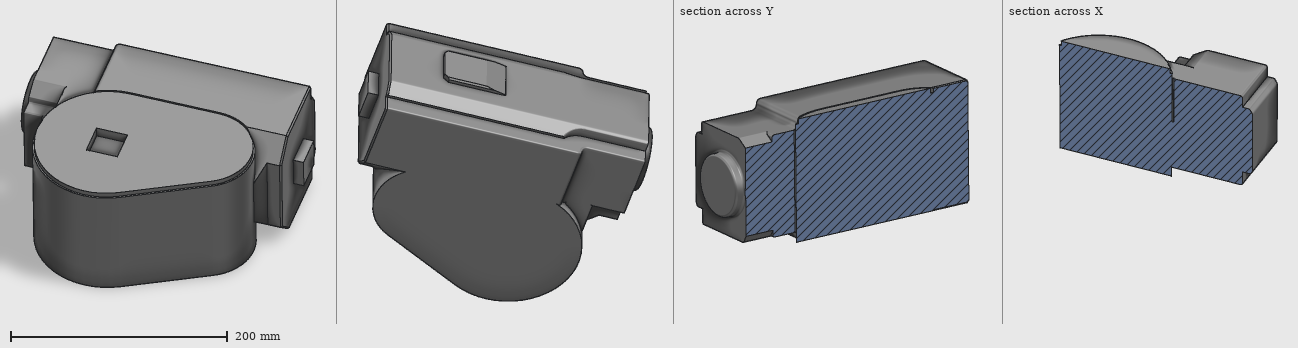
import cadquery as cq
import math

TILT = 0.6

DIAGONAL = math.sqrt(0.5)

LENGTH = 250.0
HALF_HEIGHT = 60.0
NECK_HALF_HEIGHT = 50.0
STEP = HALF_HEIGHT - NECK_HALF_HEIGHT
STEP_RADIUS = STEP / 2
STEP_START = 55.2
BACK_WALL = 40.0
FRONT_WALL = -49.8
ROOF_FRONT = -29.7
EDGE_RADIUS = 2.5

RIB_FACE = 50.3
RIB_CENTRE_Z = 0.5
RIB_HALF_HEIGHT = 44.5
RIB_FACE_HALF_HEIGHT = 32.2
RIB_ANGLE = 57
RIB_EDGE_RADIUS = 6.0
UPPER_SHELF_HEIGHT = 37.5
LOWER_SHELF_HEIGHT = 35.2
SHELF_END = 60.0
SHELF_RUNOUT_RADIUS = 23.0
RIM_CLEARANCE = 1.4
SHELF_CUT_END = SHELF_END + SHELF_RUNOUT_RADIUS

RECESS_LENGTH = 30.0
RECESS_MARGIN = 0.3
RECESS_BACK_TOP = -20.3
RECESS_BACK_BOTTOM = -26.5
RECESS_SIDE = -35.2
RECESS_EDGE_HEIGHT = 40.5
PAD_HALF_HEIGHT = 35.0
PAD_LENGTH = 17.3
NECK_FRONT = -62.5

FLANK_HALF_HEIGHT = 39.8
FLANK_START = 135.2
FLARE_START = 236.0
FLARE_END = 221.7
FLARE_FRONT = -75.7
END_CHAMFER = 1.5

DRUM_X = 93.5
DRUM_Y = -88.2
DRUM_RADIUS = 68.7
DRUM_SPACING = 86.8
TANGENT_ANGLE = 27.5
DRUM_END_RADIUS = DRUM_RADIUS - DRUM_SPACING * math.tan(math.radians(TANGENT_ANGLE / 2))
COVER_THICKNESS = 5.0
COVER_INSET = 1.5

SQUARE = 30.0
SOCKET_DEPTH = 10.0
STUB_LENGTH = 10.0

PLUG_RADIUS = 30.0
PLUG_LENGTH = 10.0

PLATE_START = 138.2
PLATE_RAMP_END = 157.7
PLATE_END = 198.2
PLATE_RAMP_STEP = 1.0
PLATE_FACE = 55.2
PLATE_HEIGHT = 39.5
PLATE_CENTRE_Z = 3.8
PLATE_CORNER = 5.0
PLATE_BEVEL = 1.5


def prism_along_x(points, start, end):
    """Extrude a (Y, Z) outline from X = start to X = end."""
    return cq.Workplane("YZ", origin=(start, 0, 0)).polyline(points).close().extrude(end - start)


def prism_along_z(points, half_height):
    """Extrude an (X, Y) outline both ways from Z = 0."""
    return cq.Workplane("XY").polyline(points).close().extrude(half_height, both=True)


def mirrored(points):
    """Close a (Y, Z) outline by its reflection in Z = 0."""
    return points + [(y, -z) for y, z in reversed(points)]


def make_core():
    """Stepped middle of the housing; each step is an S of two quarter rounds."""
    middle = STEP_START + STEP_RADIUS
    step_end = STEP_START + STEP
    neck = NECK_HALF_HEIGHT
    bend = STEP_RADIUS * DIAGONAL
    rest = STEP_RADIUS - bend

    outline = (
        cq.Workplane("XZ", origin=(0, BACK_WALL, 0))
        .moveTo(0, -neck)
        .lineTo(0, neck)
        .lineTo(STEP_START, neck)
        .threePointArc((STEP_START + bend, neck + rest), (middle, neck + STEP_RADIUS))
        .threePointArc((middle + rest, neck + STEP_RADIUS + bend), (step_end, HALF_HEIGHT))
        .lineTo(LENGTH, HALF_HEIGHT)
        .lineTo(LENGTH, -HALF_HEIGHT)
        .lineTo(step_end, -HALF_HEIGHT)
        .threePointArc((middle + rest, -neck - STEP_RADIUS - bend), (middle, -neck - STEP_RADIUS))
        .threePointArc((STEP_START + bend, -neck - rest), (STEP_START, -neck))
        .close()
    )
    core = outline.extrude(BACK_WALL - ROOF_FRONT)
    long_edges = core.faces(">Y").edges("not(<X or >X)")
    return long_edges.fillet(EDGE_RADIUS)


def make_shelf(height):
    """Upper cut whose floor, at the given height, curves up and out of the rib."""
    bend = SHELF_RUNOUT_RADIUS * DIAGONAL
    top = height + SHELF_RUNOUT_RADIUS
    return (
        cq.Workplane("XZ", origin=(0, RIB_FACE, 0))
        .moveTo(0, height)
        .lineTo(SHELF_END, height)
        .threePointArc((SHELF_END + bend, top - bend), (SHELF_CUT_END, top))
        .lineTo(0, top)
        .close()
        .extrude(RIB_FACE - BACK_WALL)
    )


def make_rib():
    """Rib with sloping flanks, a shelf at its near end and rounded edges."""
    slope_depth = (RIB_HALF_HEIGHT - RIB_FACE_HALF_HEIGHT) / math.tan(math.radians(RIB_ANGLE))
    ridge = RIB_FACE - slope_depth
    outline = mirrored([(0, RIB_HALF_HEIGHT), (ridge, RIB_HALF_HEIGHT), (RIB_FACE, RIB_FACE_HALF_HEIGHT)])
    rib = prism_along_x(outline, 0, LENGTH).translate((0, 0, RIB_CENTRE_Z))
    rib = rib.faces(">Y").edges("|X").fillet(RIB_EDGE_RADIUS)
    rib = rib.cut(make_shelf(UPPER_SHELF_HEIGHT)).cut(make_shelf(LOWER_SHELF_HEIGHT).mirror("XY"))

    shelf_rims = cq.selectors.BoxSelector(
        (EDGE_RADIUS, ridge + EDGE_RADIUS, -HALF_HEIGHT),
        (SHELF_CUT_END, RIB_FACE - RIM_CLEARANCE, HALF_HEIGHT),
    )
    return rib.edges(shelf_rims).edges("not |Y").fillet(EDGE_RADIUS)


def make_neck_front():
    """Front of the neck, flaring out to meet the drum."""
    flare_length = FRONT_WALL - NECK_FRONT
    return prism_along_z(
        [
            (0, 0),
            (0, FRONT_WALL),
            (PAD_LENGTH, FRONT_WALL),
            (PAD_LENGTH + flare_length, NECK_FRONT),
            (STEP_START, NECK_FRONT),
            (STEP_START, 0),
        ],
        NECK_HALF_HEIGHT,
    )


def make_recesses():
    """Upper and lower corner cuts that leave the pad standing between them."""
    clear_y = NECK_FRONT - 2.7
    clear_z = NECK_HALF_HEIGHT + 2.7
    upper = prism_along_x(
        [
            (RECESS_BACK_TOP, clear_z),
            (RECESS_BACK_TOP, NECK_HALF_HEIGHT),
            (RECESS_SIDE, RECESS_EDGE_HEIGHT),
            (RECESS_SIDE, PAD_HALF_HEIGHT),
            (clear_y, PAD_HALF_HEIGHT),
            (clear_y, clear_z),
        ],
        0,
        RECESS_LENGTH,
    )
    lower = prism_along_x(
        [
            (RECESS_BACK_BOTTOM, -clear_z),
            (RECESS_BACK_BOTTOM, -NECK_HALF_HEIGHT),
            (RECESS_SIDE, -PAD_HALF_HEIGHT),
            (clear_y, -PAD_HALF_HEIGHT),
            (clear_y, -clear_z),
        ],
        0,
        RECESS_LENGTH,
    )
    return upper.union(lower)


def round_recesses(housing):
    """Round the lengthwise and flare edges of the recesses, and the roof edges of their end wall."""
    clear_y = NECK_FRONT - 2.7
    back_y = RECESS_BACK_TOP + EDGE_RADIUS
    wall_start = RECESS_LENGTH - RECESS_MARGIN
    wall_end = RECESS_LENGTH + RECESS_MARGIN
    along_recess = cq.selectors.BoxSelector(
        (RECESS_MARGIN, clear_y, -HALF_HEIGHT), (wall_start, back_y, HALF_HEIGHT)
    )
    on_wall = cq.selectors.BoxSelector(
        (wall_start, clear_y, -HALF_HEIGHT), (wall_end, RECESS_SIDE, HALF_HEIGHT)
    )
    edges = housing.edges(along_recess).edges("not |Z")
    edges = edges.add(housing.edges(on_wall).edges(">Z or <Z"))
    return housing.newObject(edges.vals()).fillet(EDGE_RADIUS)


def make_flank():
    """Far front corner: sloping faces trimmed by a flare towards the drum."""
    slope = (HALF_HEIGHT - FLANK_HALF_HEIGHT) / (ROOF_FRONT - FRONT_WALL)
    tip_half_height = HALF_HEIGHT - slope * (ROOF_FRONT - FLARE_FRONT)
    wedge = prism_along_x(
        mirrored([(ROOF_FRONT, HALF_HEIGHT), (FLARE_FRONT, tip_half_height)]), FLANK_START, LENGTH
    )
    plan = prism_along_z(
        [
            (FLANK_START, ROOF_FRONT),
            (LENGTH, ROOF_FRONT),
            (LENGTH, FRONT_WALL),
            (FLARE_START, FRONT_WALL),
            (FLARE_END, FLARE_FRONT),
            (FLANK_START, FLARE_FRONT),
        ],
        HALF_HEIGHT,
    )
    return wedge.intersect(plan)


def make_drum_prism(inset, bottom, top):
    """Drum outline, shrunk by inset, between two heights."""
    big = DRUM_RADIUS - inset
    small = DRUM_END_RADIUS - inset
    end_x = DRUM_X + DRUM_SPACING
    end_y = DRUM_Y + DRUM_RADIUS - DRUM_END_RADIUS
    across = math.sin(math.radians(TANGENT_ANGLE))
    down = math.cos(math.radians(TANGENT_ANGLE))
    return (
        cq.Workplane("XY", origin=(0, 0, bottom))
        .moveTo(DRUM_X, DRUM_Y + big)
        .lineTo(end_x, end_y + small)
        .threePointArc((end_x + small, end_y), (end_x + small * across, end_y - small * down))
        .lineTo(DRUM_X + big * across, DRUM_Y - big * down)
        .threePointArc((DRUM_X - big, DRUM_Y), (DRUM_X, DRUM_Y + big))
        .close()
        .extrude(top - bottom)
    )


def add_drum(housing):
    """Join the drum, leaving a narrow groove between its cover and the housing roof."""
    cover_base = HALF_HEIGHT - COVER_THICKNESS
    drum = make_drum_prism(0, -HALF_HEIGHT, HALF_HEIGHT)
    cover = make_drum_prism(COVER_INSET, cover_base, HALF_HEIGHT)
    groove = make_drum_prism(0, cover_base, HALF_HEIGHT).cut(cover)
    return housing.union(drum).cut(groove)


def make_socket():
    """Square drive socket sunk into the cover."""
    return (
        cq.Workplane("XY", origin=(DRUM_X, DRUM_Y, HALF_HEIGHT))
        .rect(SQUARE, SQUARE)
        .extrude(-SOCKET_DEPTH)
    )


def make_plug():
    """Round plug with a rounded rim and a hollow fillet at its root."""
    root = PLUG_RADIUS + EDGE_RADIUS
    rim = PLUG_RADIUS - EDGE_RADIUS
    rest = EDGE_RADIUS * (1 - DIAGONAL)
    return (
        cq.Workplane("XY")
        .moveTo(0, 0)
        .lineTo(0, root)
        .threePointArc((-rest, PLUG_RADIUS + rest), (-EDGE_RADIUS, PLUG_RADIUS))
        .lineTo(EDGE_RADIUS - PLUG_LENGTH, PLUG_RADIUS)
        .threePointArc((rest - PLUG_LENGTH, PLUG_RADIUS - rest), (-PLUG_LENGTH, rim))
        .lineTo(-PLUG_LENGTH, 0)
        .close()
        .revolve(360, (0, 0, 0), (1, 0, 0))
    )


def make_stub():
    """Square stub on the far end of the input axis."""
    return cq.Workplane("YZ", origin=(LENGTH, 0, 0)).rect(SQUARE, SQUARE).extrude(STUB_LENGTH)


def make_plate():
    """Raised plate on the rib: ramped at one end, corners cut at the other."""
    plate = (
        cq.Workplane("XY", origin=(0, 0, PLATE_CENTRE_Z))
        .moveTo(PLATE_START, RIB_FACE + PLATE_RAMP_STEP)
        .lineTo(PLATE_RAMP_END, PLATE_FACE)
        .lineTo(PLATE_END, PLATE_FACE)
        .lineTo(PLATE_END, BACK_WALL)
        .lineTo(PLATE_START, BACK_WALL)
        .close()
        .extrude(PLATE_HEIGHT / 2, both=True)
    )
    plate = plate.edges(">X and |Y").chamfer(PLATE_CORNER)
    return plate.faces(">Y").edges("|X").chamfer(PLATE_BEVEL)


neck = make_core().union(make_neck_front()).cut(make_recesses())
housing = round_recesses(neck).union(make_flank()).union(make_rib())
housing = housing.faces(">X").edges().chamfer(END_CHAMFER)

part = add_drum(housing).cut(make_socket())
part = part.union(make_plug()).union(make_stub()).union(make_plate())
result = part.rotate((0, 0, 0), (0, 1, 0), -TILT)